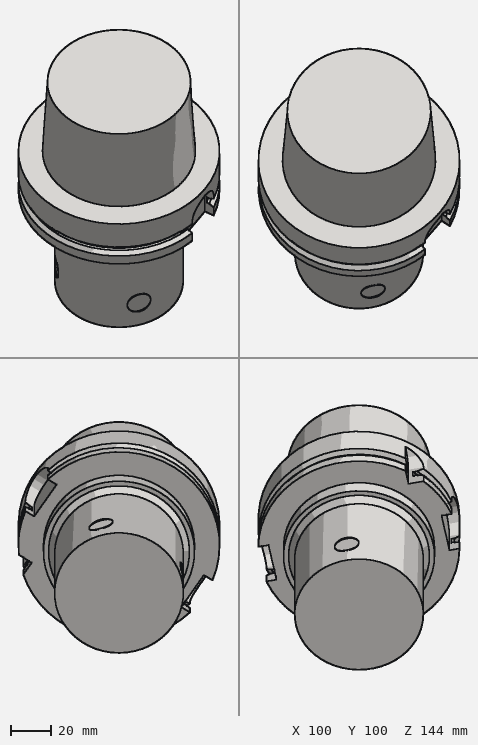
import cadquery as cq
import math

total_height = 144.0
nose_length = 50.0
flange_height = 29.0
collar_height = 8.0
cone_height = 3.2
flange_top = total_height - nose_length
flange_bottom = flange_top - flange_height
collar_bottom = flange_bottom - collar_height
shank_top = collar_bottom - cone_height

flange_radius = 100.0 / 2
nose_top_radius = 35.5
nose_base_radius = 38.0
collar_radius = 75.0 / 2
cone_radius = 35.0
shank_radius = 64.0 / 2

groove_radius = 46.0
groove_upper_edge = flange_top - 16.7
groove_lower_edge = flange_top - 23.2
groove_bevel_height = 1.5
groove_bevel_angle = 60.0
bevel_radius = flange_radius - groove_bevel_height * math.tan(math.radians(groove_bevel_angle))

slot_width = 20.3
slot_top = flange_top - 5.0
drive_slot_floor = 43.8
side_slot_floor = 31.2
side_slot_wall = 31.4
side_slot_center = side_slot_wall + slot_width / 2

spot_diameter = 12.2
spot_height = 15.8
spot_angles = (90, 220, 320)
spot_floor = math.sqrt(shank_radius**2 - (spot_diameter / 2) ** 2)


def make_body():
    profile = [
        (0, 0),
        (shank_radius, 0),
        (shank_radius, shank_top),
        (cone_radius, collar_bottom),
        (collar_radius, collar_bottom),
        (collar_radius, flange_bottom),
        (flange_radius, flange_bottom),
        (flange_radius, groove_lower_edge),
        (bevel_radius, groove_lower_edge + groove_bevel_height),
        (groove_radius, groove_lower_edge + groove_bevel_height),
        (groove_radius, groove_upper_edge - groove_bevel_height),
        (bevel_radius, groove_upper_edge - groove_bevel_height),
        (flange_radius, groove_upper_edge),
        (flange_radius, flange_top),
        (nose_base_radius, flange_top),
        (nose_top_radius, total_height),
        (0, total_height),
    ]
    return cq.Workplane("XZ").polyline(profile).close().revolve(360, (0, 0), (0, 1))


def slot_cutter(center_y, floor, side):
    """Slot open at the flange bottom, from its floor outward; side is +1 or -1 along X."""
    half_width = slot_width / 2
    arch_start = slot_top - half_width
    return (
        cq.Workplane("YZ", origin=(side * floor, center_y, 0))
        .moveTo(-half_width, flange_bottom)
        .lineTo(-half_width, arch_start)
        .threePointArc((0, slot_top), (half_width, arch_start))
        .lineTo(half_width, flange_bottom)
        .close()
        .extrude(side * flange_radius)
    )


def spot_cutter(angle):
    return (
        cq.Workplane("YZ", origin=(spot_floor, 0, spot_height))
        .circle(spot_diameter / 2)
        .extrude(shank_radius)
        .rotate((0, 0, 0), (0, 0, 1), angle)
    )


result = make_body()
for side in (-1, 1):
    result = result.cut(slot_cutter(0, drive_slot_floor, side))
result = result.cut(slot_cutter(side_slot_center, side_slot_floor, -1))
for angle in spot_angles:
    result = result.cut(spot_cutter(angle))